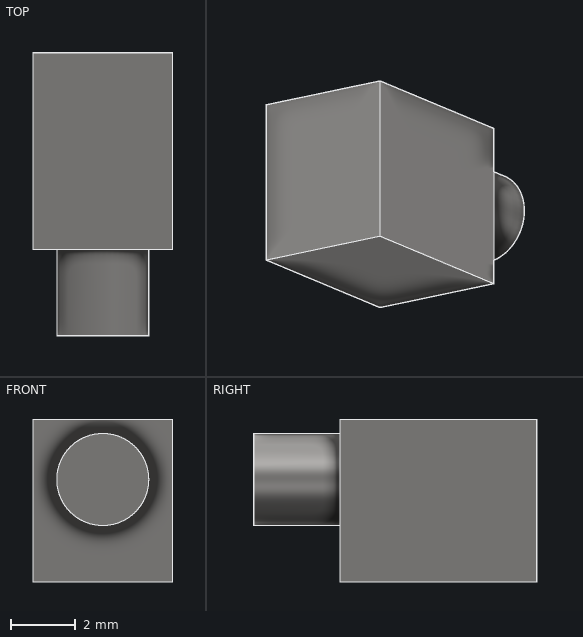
import cadquery as cq

total_length = 8.76
housing_width = 4.32
housing_height = 5.03

pin_diameter = 2.85
pin_length = 2.67
pin_axis_below_top = 1.86

housing_length = total_length - pin_length
pin_axis_height = housing_height - pin_axis_below_top


def make_housing():
    """Plain rectangular block behind the pin."""
    return cq.Workplane("XY").box(
        housing_width, housing_length, housing_height, centered=(True, False, False)
    )


def make_pin():
    """Round pin that stands on the front face and points toward -Y."""
    return (
        cq.Workplane("XZ")
        .center(0, pin_axis_height)
        .circle(pin_diameter / 2)
        .extrude(pin_length)
    )


housing = make_housing()
pin = make_pin()

result = cq.Compound.makeCompound([housing.val(), pin.val()])